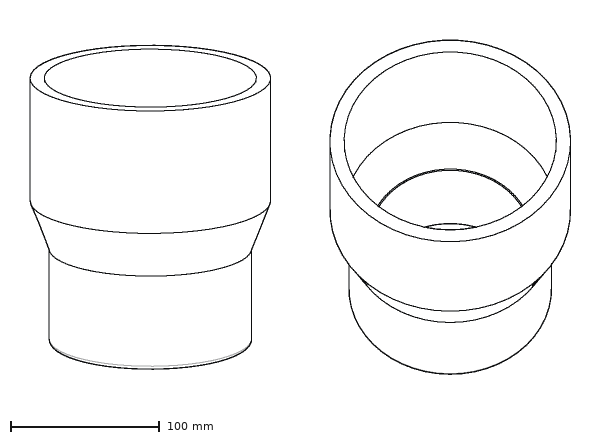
import cadquery as cq

height = 185.0
socket_outer_diameter = 162.0
spigot_outer_diameter = 136.5
socket_length = 85.7
spigot_length = 65.9

socket_mouth_diameter = 142.8
socket_root_diameter = 141.3
ledge_outer_diameter = 110.0
bore_diameter = 108.0

edge_radius = 2.8

socket_base = height - socket_length
spigot_outer_radius = spigot_outer_diameter / 2
socket_outer_radius = socket_outer_diameter / 2
bore_radius = bore_diameter / 2

wall_section = [
    (spigot_outer_radius, 0),
    (spigot_outer_radius, spigot_length),
    (socket_outer_radius, socket_base),
    (socket_outer_radius, height),
    (socket_mouth_diameter / 2, height),
    (socket_root_diameter / 2, socket_base),
    (ledge_outer_diameter / 2, spigot_length),
    (bore_radius, spigot_length),
    (bore_radius, 0),
]

sleeve = cq.Workplane("YZ").polyline(wall_section).close().revolve(360, (0, 0, 0), (0, 1, 0))

bottom_outer_edge = cq.selectors.RadiusNthSelector(-1)
result = sleeve.faces("<Z").edges(bottom_outer_edge).fillet(edge_radius)